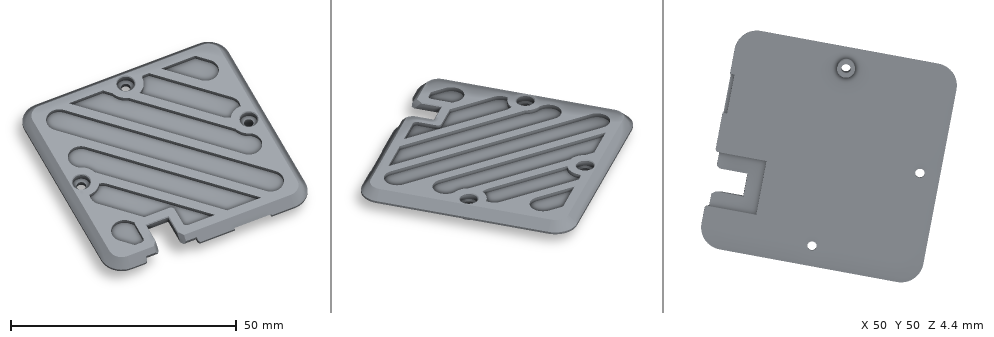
import cadquery as cq
import math

SIDE = 50.0
HALF = SIDE / 2
THICKNESS = 2.5
EDGE_CHAMFER = 2.0
CORNER_RADIUS = 5.0
TOP_HALF = HALF - EDGE_CHAMFER

HOLE_OFFSET = 20.5
HOLE_CENTRES = [(0, HOLE_OFFSET), (0, -HOLE_OFFSET), (-HOLE_OFFSET, 0)]
PIN_CENTRE = HOLE_CENTRES[0]
HOLE_DIAMETER = 2.1
COUNTERBORE_DIAMETER = 4.0
COUNTERBORE_DEPTH = 1.5
COUNTERBORE_CHAMFER = 0.2
BEVEL_ANGLE = 45
PIN_DIAMETER = 4.0
PIN_LENGTH = 1.9

NOTCH_Y = -9.85
NOTCH_FLOOR_X = 17.0
NOTCH_WIDTH = 5.3
NOTCH_BEVEL = 0.2
MOUTH_BEVEL = 1.05
NOTCH_TOP_X = NOTCH_FLOOR_X - NOTCH_BEVEL
NOTCH_TOP_WIDTH = NOTCH_WIDTH + 2 * NOTCH_BEVEL

RELIEF_HEIGHT = 0.7
NOTCH_RELIEF_Y = -9.7
NOTCH_RELIEF_WIDTH = 12.4
NOTCH_RELIEF_X = NOTCH_FLOOR_X - (NOTCH_RELIEF_WIDTH - NOTCH_WIDTH) / 2
RIM_SETBACK = 0.95
SETBACK_RADIUS = 0.65
SIDE_RELIEF_Y = -NOTCH_Y
SIDE_RELIEF_WIDTH = 9.0
SIDE_RELIEF_DEPTH = 1.0

POCKET_DEPTH = 1.0
POCKET_FLOOR_Z = THICKNESS - POCKET_DEPTH
POCKET_ANGLE = 45
POCKET_PITCH = 8.0
POCKET_WIDTH = 5.9
POCKET_ROWS = range(-3, 4)
POCKET_LIMIT_X = 20.9
POCKET_CAP_Y = 17.6
HOLE_LAND_RADIUS = 4.0
NOTCH_LAND = 2.0
NOTCH_LAND_RADIUS = 0.9
NOTCH_CORNER_RADIUS = 0.9
HOLE_CORNER_RADIUS = 0.6

SELECT_MARGIN = 0.05


def box(x_min, x_max, y_centre, width, z_min, z_max):
    """Box spanning the given X and Z ranges, centred on y_centre."""
    base = cq.Workplane("XY").workplane(offset=z_min).center((x_min + x_max) / 2, y_centre)
    return base.rect(x_max - x_min, width).extrude(z_max - z_min)


def edges_near(x, y_min, y_max):
    """Selector for edges centred close to the given X and between the two Y values."""
    return cq.selectors.BoxSelector(
        (x - SELECT_MARGIN, y_min, 0),
        (x + SELECT_MARGIN, y_max, THICKNESS),
    )


def make_plate():
    """Square plate with rounded corners, bevelled on top all round."""
    plate = cq.Workplane("XY").rect(SIDE, SIDE).extrude(THICKNESS)
    plate = plate.edges("|Z").fillet(CORNER_RADIUS)
    return plate.faces(">Z").edges().chamfer(EDGE_CHAMFER)


def cut_notch(plate):
    """Square notch whose mouth corners are bevelled where its sides meet the sloping rim."""
    plate = plate.cut(box(NOTCH_FLOOR_X, HALF, NOTCH_Y, NOTCH_WIDTH, 0, THICKNESS))
    half_width = NOTCH_WIDTH / 2 + SELECT_MARGIN
    slope_middle_x = (HALF + TOP_HALF) / 2
    slope_edges = edges_near(slope_middle_x, NOTCH_Y - half_width, NOTCH_Y + half_width)
    plate = plate.edges(slope_edges).chamfer(MOUTH_BEVEL)
    top_edges = cq.selectors.BoxSelector(
        (NOTCH_FLOOR_X - SELECT_MARGIN, NOTCH_Y - half_width, THICKNESS - SELECT_MARGIN),
        (TOP_HALF - MOUTH_BEVEL, NOTCH_Y + half_width, THICKNESS + SELECT_MARGIN),
    )
    return plate.edges(top_edges).chamfer(NOTCH_BEVEL)


def make_relief_cutters():
    """Shallow underside reliefs, and the setback of the rim on both sides of the notch mouth."""
    notch_relief = box(NOTCH_RELIEF_X, HALF, NOTCH_RELIEF_Y, NOTCH_RELIEF_WIDTH, 0, RELIEF_HEIGHT)
    side_relief = box(HALF - SIDE_RELIEF_DEPTH, HALF, SIDE_RELIEF_Y, SIDE_RELIEF_WIDTH, 0, RELIEF_HEIGHT)

    half_width = NOTCH_RELIEF_WIDTH / 2
    inner_x = HALF - RIM_SETBACK
    flared_half_width = half_width + SETBACK_RADIUS
    setback = (
        cq.Workplane("XY")
        .moveTo(inner_x, -half_width)
        .lineTo(HALF - SETBACK_RADIUS, -half_width)
        .radiusArc((HALF, -flared_half_width), SETBACK_RADIUS)
        .lineTo(HALF, flared_half_width)
        .radiusArc((HALF - SETBACK_RADIUS, half_width), SETBACK_RADIUS)
        .lineTo(inner_x, half_width)
        .close()
        .extrude(THICKNESS)
        .translate((0, NOTCH_RELIEF_Y, 0))
    )
    return [notch_relief, side_relief, setback]


def make_pocket_region():
    """Area the pockets may occupy: inside the rim and clear of the lands at the holes and the notch."""
    region = box(-POCKET_LIMIT_X, POCKET_LIMIT_X, 0, SIDE, POCKET_FLOOR_Z, THICKNESS)
    land_x = NOTCH_TOP_X - NOTCH_LAND
    land_width = NOTCH_TOP_WIDTH + 2 * NOTCH_LAND
    notch_land = box(land_x, HALF, NOTCH_Y, land_width, POCKET_FLOOR_Z, THICKNESS)
    region = region.cut(notch_land.edges("|Z and <X").fillet(NOTCH_LAND_RADIUS))
    hole_lands = (
        cq.Workplane("XY")
        .workplane(offset=POCKET_FLOOR_Z)
        .pushPoints(HOLE_CENTRES)
        .circle(HOLE_LAND_RADIUS)
        .extrude(POCKET_DEPTH)
    )
    region = region.cut(hole_lands)

    notch_corners = edges_near(POCKET_LIMIT_X, NOTCH_Y - land_width, NOTCH_Y + land_width)
    region = region.edges("|Z").edges(notch_corners).fillet(NOTCH_CORNER_RADIUS)
    hole_corner = edges_near(-POCKET_LIMIT_X, 0, HOLE_LAND_RADIUS)
    return region.edges("|Z").edges(hole_corner).fillet(HOLE_CORNER_RADIUS)


def make_pockets():
    """Diagonal stripes with rounded ends, trimmed to the pocket region."""
    region = make_pocket_region()
    diagonal = math.sqrt(2)
    length = 2 * POCKET_CAP_Y * diagonal + POCKET_WIDTH
    pockets = []
    for row in POCKET_ROWS:
        centre_x = -row * POCKET_PITCH * diagonal
        stripe = (
            cq.Workplane("XY")
            .workplane(offset=POCKET_FLOOR_Z)
            .center(centre_x, 0)
            .slot2D(length, POCKET_WIDTH, POCKET_ANGLE)
            .extrude(POCKET_DEPTH)
        )
        pockets.append(stripe.intersect(region))
    return pockets


def make_hole_cutters():
    """Counterbored through holes with a small bevel at the rim."""
    bore = cq.Workplane("XY").workplane(offset=-PIN_LENGTH).circle(HOLE_DIAMETER / 2)
    bore = bore.extrude(PIN_LENGTH + THICKNESS)
    head = cq.Workplane("XY").workplane(offset=THICKNESS).circle(COUNTERBORE_DIAMETER / 2)
    head = head.extrude(-COUNTERBORE_DEPTH)
    rim_radius = COUNTERBORE_DIAMETER / 2 + COUNTERBORE_CHAMFER
    rim = cq.Workplane("XY").workplane(offset=THICKNESS).circle(rim_radius)
    rim = rim.extrude(-COUNTERBORE_CHAMFER, taper=BEVEL_ANGLE)
    cutter = bore.union(head).union(rim)
    return [cutter.translate((x, y, 0)) for x, y in HOLE_CENTRES]


result = cut_notch(make_plate())
pin = cq.Workplane("XY").center(*PIN_CENTRE).circle(PIN_DIAMETER / 2).extrude(-PIN_LENGTH)
result = result.union(pin)
for cutter in make_relief_cutters() + make_pockets() + make_hole_cutters():
    result = result.cut(cutter)